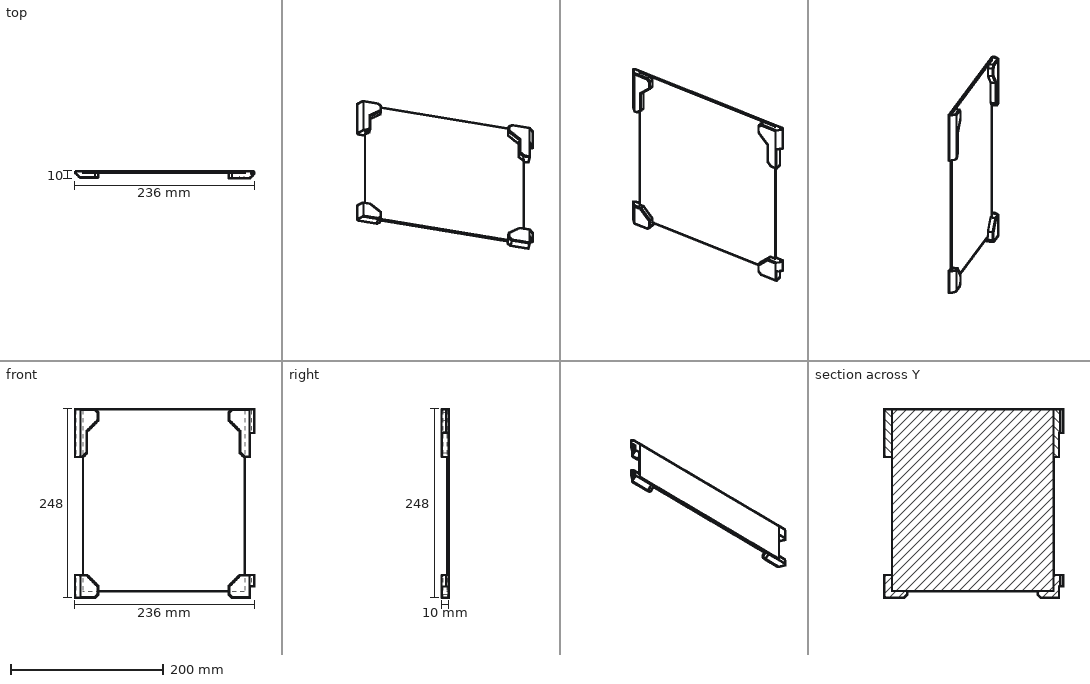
import cadquery as cq
import math


TOTAL_WIDTH = 236.0
TOTAL_HEIGHT = 248.0

PANEL_LEFT = 10.7
PANEL_RIGHT = 223.7
PANEL_BOTTOM = 8.5
PANEL_THICKNESS = 2.5

UPPER_HEIGHT = 63.0
LOWER_HEIGHT = 30.0

LEFT_INNER_X = 31.0
RIGHT_INNER_X = 202.0
CORNER_CUT = 4.2
WIDE_SIDE_END = 15.0
SLOPE = 14.6
FOOT_CUT = 5.5
FRONT_CHAMFER = 1.0

HANDLE_DEPTH = 9.0
HANDLE_BACK_CHAMFER = 1.7
HINGE_DEPTH = 10.0
BARREL_DIAMETER = 4.7
PIN_HOLE_DIAMETER = 3.5
HINGE_BODY_RIGHT = 230.5

BARREL_RADIUS = BARREL_DIAMETER / 2
BARREL_X = TOTAL_WIDTH - BARREL_RADIUS
BARREL_Y = -BARREL_RADIUS


def make_panel():
    return cq.Workplane("XY").box(
        PANEL_RIGHT - PANEL_LEFT,
        PANEL_THICKNESS,
        TOTAL_HEIGHT - PANEL_BOTTOM,
        centered=False,
    ).translate((PANEL_LEFT, -PANEL_THICKNESS, PANEL_BOTTOM))


def chamfered_plate(points, depth):
    """Plate with the given XZ outline, chamfered around its front face."""
    plate = cq.Workplane("XZ").polyline(points).close().extrude(depth)
    return plate.faces("<Y").chamfer(FRONT_CHAMFER)


def upper_plate(outer_x, inner_x, depth):
    """Plate with a wide head at the top and a narrow leg along its outer side."""
    inward = 1 if inner_x > outer_x else -1
    top = TOTAL_HEIGHT
    bottom = TOTAL_HEIGHT - UPPER_HEIGHT
    leg_x = inner_x - inward * SLOPE
    points = [
        (outer_x, top),
        (inner_x - inward * CORNER_CUT, top),
        (inner_x, top - CORNER_CUT),
        (inner_x, top - WIDE_SIDE_END),
        (leg_x, top - WIDE_SIDE_END - SLOPE),
        (leg_x, bottom + FOOT_CUT),
        (leg_x - inward * FOOT_CUT, bottom),
        (outer_x, bottom),
    ]
    return chamfered_plate(points, depth)


def lower_plate(outer_x, inner_x, depth):
    """Plate with a long slope at its upper inner corner and a small cut below it."""
    inward = 1 if inner_x > outer_x else -1
    points = [
        (outer_x, 0),
        (inner_x - inward * CORNER_CUT, 0),
        (inner_x, CORNER_CUT),
        (inner_x, LOWER_HEIGHT - SLOPE),
        (inner_x - inward * SLOPE, LOWER_HEIGHT),
        (outer_x, LOWER_HEIGHT),
    ]
    return chamfered_plate(points, depth)


def handle_section():
    """Column along Z with the bevelled left side of a handle bracket."""
    bevel_end_x = HANDLE_DEPTH - HANDLE_BACK_CHAMFER
    points = [
        (HANDLE_BACK_CHAMFER, 0),
        (0, -HANDLE_BACK_CHAMFER),
        (bevel_end_x, -HANDLE_DEPTH),
        (TOTAL_WIDTH, -HANDLE_DEPTH),
        (TOTAL_WIDTH, 0),
    ]
    return cq.Workplane("XY").polyline(points).close().extrude(TOTAL_HEIGHT)


def hinge_section():
    """Column along Z whose right side wraps around the barrel and runs off it at 45 degrees."""
    diagonal = BARREL_RADIUS * math.cos(math.radians(45))
    tangent_x = BARREL_X + diagonal
    tangent_y = BARREL_Y - diagonal
    bevel_end_x = tangent_x - (HINGE_DEPTH + tangent_y)
    return (
        cq.Workplane("XY")
        .moveTo(0, 0)
        .lineTo(BARREL_X, 0)
        .threePointArc((TOTAL_WIDTH, BARREL_Y), (tangent_x, tangent_y))
        .lineTo(bevel_end_x, -HINGE_DEPTH)
        .lineTo(0, -HINGE_DEPTH)
        .close()
        .extrude(TOTAL_HEIGHT)
    )


def cut_hinge(bracket, bottom, height):
    """Drill the pin hole and clear the lower half of the barrel for the mating hinge."""
    pin_hole = (
        cq.Workplane("XY")
        .circle(PIN_HOLE_DIAMETER / 2)
        .extrude(height)
        .translate((BARREL_X, BARREL_Y, bottom))
    )
    clearance = cq.Workplane("XY").box(
        TOTAL_WIDTH - HINGE_BODY_RIGHT,
        HINGE_DEPTH,
        height / 2,
        centered=False,
    ).translate((HINGE_BODY_RIGHT, -HINGE_DEPTH, bottom))
    return bracket.cut(pin_hole).cut(clearance)


def make_handle_bracket(plate, panel):
    return plate.intersect(handle_section()).cut(panel)


def make_hinge_bracket(plate, panel, bottom, height):
    bracket = plate.intersect(hinge_section()).cut(panel)
    return cut_hinge(bracket, bottom, height)


panel = make_panel()

upper_handle = make_handle_bracket(upper_plate(0, LEFT_INNER_X, HANDLE_DEPTH), panel)
lower_handle = make_handle_bracket(lower_plate(0, LEFT_INNER_X, HANDLE_DEPTH), panel)

upper_hinge = make_hinge_bracket(
    upper_plate(TOTAL_WIDTH, RIGHT_INNER_X, HINGE_DEPTH),
    panel,
    TOTAL_HEIGHT - UPPER_HEIGHT,
    UPPER_HEIGHT,
)
lower_hinge = make_hinge_bracket(
    lower_plate(TOTAL_WIDTH, RIGHT_INNER_X, HINGE_DEPTH),
    panel,
    0,
    LOWER_HEIGHT,
)

result = cq.Compound.makeCompound([
    panel.val(),
    upper_handle.val(),
    lower_handle.val(),
    upper_hinge.val(),
    lower_hinge.val(),
])